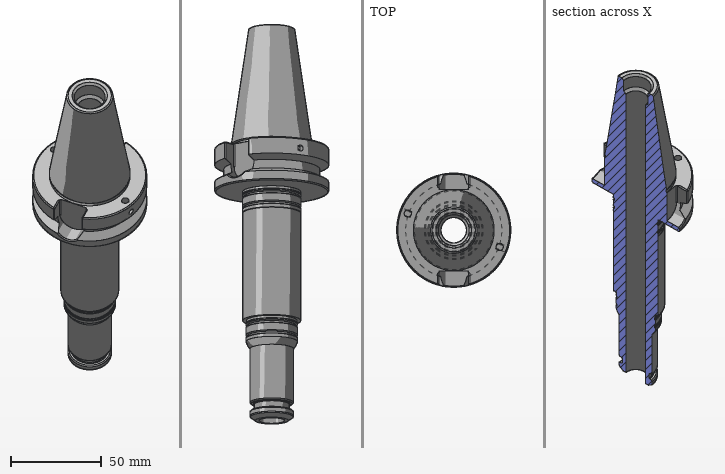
import cadquery as cq

TOTAL_LENGTH = 221.0
GAUGE_Z = 155.5
FLANGE_TOP_Z = 153.5
FLANGE_BOTTOM_Z = 129.0
SHAFT_BOTTOM_Z = 56.3
SHANK_TOP_Z = 40.5
SHANK_BOTTOM_Z = 9.5
HEAD_TOP_Z = 5.5

TAPER_RATIO = 7 / 24
GAUGE_RADIUS = 22.3
TAPER_TIP_RADIUS = GAUGE_RADIUS - (TOTAL_LENGTH - GAUGE_Z) * TAPER_RATIO / 2
TIP_CHAMFER_WIDTH = 0.9
TIP_CHAMFER_HEIGHT = 0.5
TAPER_RELIEF_DEPTH = 0.7

FLANGE_RADIUS = 63.0 / 2
FLANGE_CHAMFER = 0.7
GRIP_RADIUS = 26.5
GRIP_CENTER_Z = 139.2
GRIP_FLOOR_WIDTH = 4.9
GRIP_FLANK_HEIGHT = 2.5
GRIP_HALF_OPENING = GRIP_FLOOR_WIDTH / 2 + GRIP_FLANK_HEIGHT

UPPER_COLLAR_RADIUS = 32.5 / 2
SHAFT_RADIUS = 32.0 / 2
LOWER_COLLAR_RADIUS = 28.5 / 2
SHANK_RADIUS = 24.0 / 2
NECK_RADIUS = 19.5 / 2
NOSE_RADIUS = 9.0
NOSE_CHAMFER_HEIGHT = 2.0
NOSE_EDGE_BREAK = 0.2
EDGE_CHAMFER = 0.7
NECK_CHAMFER = 0.5

COLLAR_LENGTH = 12.0
COLLAR_SHOULDER_BULGE = 0.2
COLLAR_RELIEF_LENGTH = 1.3
COLLAR_RELIEF_DEPTH = 0.2
SEAL_GROOVE_TOPS = (2.2, 8.2)
SEAL_GROOVE_WIDTH = 1.8
SEAL_GROOVE_DEPTH = 0.7

BORE_RADIUS = 14.0 / 2
PILOT_RADIUS = 17.0 / 2
PILOT_DEPTH = 9.0
MOUTH_RADIUS = 19.5 / 2

SLOT_FLOOR_Y = 22.5
SLOT_WIDTH = 16.3
SLOT_CORNER_CHAMFER = 0.7
SLOT_EDGE_CHAMFER = 0.7
SLOT_INNER_EDGE_ZONE = 2.2
SELECTION_MARGIN = 0.2
SLOT_END_CENTER_Z = 140.5

HOLE_ANGLES = (160, -20)
AXIAL_HOLE_DIAMETER = 4.0
AXIAL_HOLE_PITCH_RADIUS = 27.0
RADIAL_HOLE_DIAMETER = 3.3
RADIAL_HOLE_Z = 147.8


def seal_collar(top_z, radius):
    """Profile points of a collar with a relieved top and two ring grooves, from top to bottom."""
    relief_z = top_z - COLLAR_RELIEF_LENGTH
    points = [
        (radius - COLLAR_RELIEF_DEPTH, top_z),
        (radius - COLLAR_RELIEF_DEPTH, relief_z),
        (radius, relief_z - COLLAR_RELIEF_DEPTH),
    ]
    floor_radius = radius - SEAL_GROOVE_DEPTH
    for distance in SEAL_GROOVE_TOPS:
        groove_top = top_z - distance
        groove_bottom = groove_top - SEAL_GROOVE_WIDTH
        points += [
            (radius, groove_top),
            (floor_radius, groove_top - SEAL_GROOVE_DEPTH),
            (floor_radius, groove_bottom),
            (radius, groove_bottom),
        ]
    points.append((radius, top_z - COLLAR_LENGTH))
    return points


def taper_profile():
    """Taper and the shallow relief between it and the flange."""
    return [
        (0, TOTAL_LENGTH),
        (TAPER_TIP_RADIUS - TIP_CHAMFER_WIDTH, TOTAL_LENGTH),
        (TAPER_TIP_RADIUS, TOTAL_LENGTH - TIP_CHAMFER_HEIGHT),
        (GAUGE_RADIUS, GAUGE_Z),
        (GAUGE_RADIUS - TAPER_RELIEF_DEPTH, GAUGE_Z - TAPER_RELIEF_DEPTH),
        (GAUGE_RADIUS, FLANGE_TOP_Z),
    ]


def flange_profile():
    """Flange rim with a V-shaped gripper groove."""
    rim_edge = FLANGE_RADIUS - FLANGE_CHAMFER
    floor_top = GRIP_CENTER_Z + GRIP_FLOOR_WIDTH / 2
    floor_bottom = GRIP_CENTER_Z - GRIP_FLOOR_WIDTH / 2
    return [
        (rim_edge, FLANGE_TOP_Z),
        (FLANGE_RADIUS, FLANGE_TOP_Z - FLANGE_CHAMFER),
        (FLANGE_RADIUS, floor_top + GRIP_FLANK_HEIGHT),
        (GRIP_RADIUS, floor_top),
        (GRIP_RADIUS, floor_bottom),
        (FLANGE_RADIUS, floor_bottom - GRIP_FLANK_HEIGHT),
        (FLANGE_RADIUS, FLANGE_BOTTOM_Z + FLANGE_CHAMFER),
        (rim_edge, FLANGE_BOTTOM_Z),
    ]


def nose_profile():
    """Rest of the slim shank below its top, then the neck and the chamfered head."""
    shank_edge = SHANK_RADIUS - EDGE_CHAMFER
    return [
        (SHANK_RADIUS, SHANK_BOTTOM_Z + EDGE_CHAMFER),
        (shank_edge, SHANK_BOTTOM_Z),
        (NECK_RADIUS + NECK_CHAMFER, SHANK_BOTTOM_Z),
        (NECK_RADIUS, SHANK_BOTTOM_Z - NECK_CHAMFER),
        (NECK_RADIUS, HEAD_TOP_Z + NECK_CHAMFER),
        (NECK_RADIUS + NECK_CHAMFER, HEAD_TOP_Z),
        (shank_edge, HEAD_TOP_Z),
        (SHANK_RADIUS, HEAD_TOP_Z - EDGE_CHAMFER),
        (SHANK_RADIUS, NOSE_CHAMFER_HEIGHT + EDGE_CHAMFER),
        (SHANK_RADIUS - NOSE_EDGE_BREAK, NOSE_CHAMFER_HEIGHT),
        (NOSE_RADIUS, 0),
        (0, 0),
    ]


def turned_body():
    """Solid of revolution from the taper tip down to the nose."""
    shaft_top_z = FLANGE_BOTTOM_Z - COLLAR_LENGTH - (UPPER_COLLAR_RADIUS - SHAFT_RADIUS)
    upper_profile = (
        taper_profile()
        + flange_profile()
        + seal_collar(FLANGE_BOTTOM_Z, UPPER_COLLAR_RADIUS)
        + [(SHAFT_RADIUS, shaft_top_z), (SHAFT_RADIUS, SHAFT_BOTTOM_Z)]
        + seal_collar(SHAFT_BOTTOM_Z, LOWER_COLLAR_RADIUS)
    )
    return (
        cq.Workplane("XZ")
        .polyline(upper_profile)
        .sagittaArc((SHANK_RADIUS, SHANK_TOP_Z), COLLAR_SHOULDER_BULGE)
        .polyline(nose_profile(), includeCurrent=True)
        .close()
        .revolve(360, (0, 0), (0, 1))
    )


def axial_bore():
    """Through bore that opens, over a 45 degree cone, into a chamfered pilot at the taper end."""
    mouth_chamfer = MOUTH_RADIUS - PILOT_RADIUS
    pilot_cone_z = TOTAL_LENGTH - PILOT_DEPTH - (PILOT_RADIUS - BORE_RADIUS)
    profile = [
        (0, 0),
        (BORE_RADIUS, 0),
        (BORE_RADIUS, pilot_cone_z),
        (PILOT_RADIUS, TOTAL_LENGTH - PILOT_DEPTH),
        (PILOT_RADIUS, TOTAL_LENGTH - mouth_chamfer),
        (MOUTH_RADIUS, TOTAL_LENGTH),
        (0, TOTAL_LENGTH),
    ]
    return cq.Workplane("XZ").polyline(profile).close().revolve(360, (0, 0), (0, 1))


def drive_slot():
    """Slot on the +Y side: straight part with chamfered inner corners, above a round end."""
    depth = FLANGE_RADIUS - SLOT_FLOOR_Y
    height = FLANGE_TOP_Z - SLOT_END_CENTER_Z
    straight_part = (
        cq.Workplane("XY", origin=(0, SLOT_FLOOR_Y + depth / 2, SLOT_END_CENTER_Z))
        .box(SLOT_WIDTH, depth, height, centered=(True, True, False))
        .edges("|Z and <Y")
        .chamfer(SLOT_CORNER_CHAMFER)
    )
    round_end = (
        cq.Workplane("XZ", origin=(0, SLOT_FLOOR_Y, SLOT_END_CENTER_Z))
        .moveTo(-SLOT_WIDTH / 2, 0)
        .threePointArc((0, -SLOT_WIDTH / 2), (SLOT_WIDTH / 2, 0))
        .close()
        .extrude(-depth)
    )
    return straight_part.union(round_end)


def hole_pair(angle):
    """Blind axial hole in the flange top, met by a radial hole from the rim."""
    axial_depth = FLANGE_TOP_Z - RADIAL_HOLE_Z
    axial = (
        cq.Workplane("XY", origin=(AXIAL_HOLE_PITCH_RADIUS, 0, FLANGE_TOP_Z))
        .circle(AXIAL_HOLE_DIAMETER / 2)
        .extrude(-axial_depth)
    )
    radial_end = AXIAL_HOLE_PITCH_RADIUS - AXIAL_HOLE_DIAMETER / 2
    radial = (
        cq.Workplane("YZ", origin=(radial_end, 0, RADIAL_HOLE_Z))
        .circle(RADIAL_HOLE_DIAMETER / 2)
        .extrude(FLANGE_RADIUS - radial_end)
    )
    return axial.union(radial).rotate((0, 0, 0), (0, 0, 1), angle)


def slot_edges(bottom_z, top_z):
    """Selector for the outer edges of both drive slots centred between two heights."""
    half_width = SLOT_WIDTH / 2 + SELECTION_MARGIN
    near_y = SLOT_FLOOR_Y + SLOT_INNER_EDGE_ZONE
    far_y = FLANGE_RADIUS + SELECTION_MARGIN
    front_edges, back_edges = (
        cq.selectors.BoxSelector((-half_width, side * near_y, bottom_z), (half_width, side * far_y, top_z))
        for side in (-1, 1)
    )
    return front_edges + back_edges


result = turned_body()
for side_angle in (0, 180):
    result = result.cut(drive_slot().rotate((0, 0, 0), (0, 0, 1), side_angle))
upper_edges = slot_edges(
    GRIP_CENTER_Z + GRIP_HALF_OPENING - SELECTION_MARGIN,
    FLANGE_TOP_Z + SELECTION_MARGIN,
)
lower_edges = slot_edges(
    FLANGE_BOTTOM_Z + FLANGE_CHAMFER + SELECTION_MARGIN,
    GRIP_CENTER_Z - GRIP_HALF_OPENING + SELECTION_MARGIN,
)
result = result.edges(upper_edges + lower_edges).chamfer(SLOT_EDGE_CHAMFER)
for hole_angle in HOLE_ANGLES:
    result = result.cut(hole_pair(hole_angle))
result = result.cut(axial_bore())